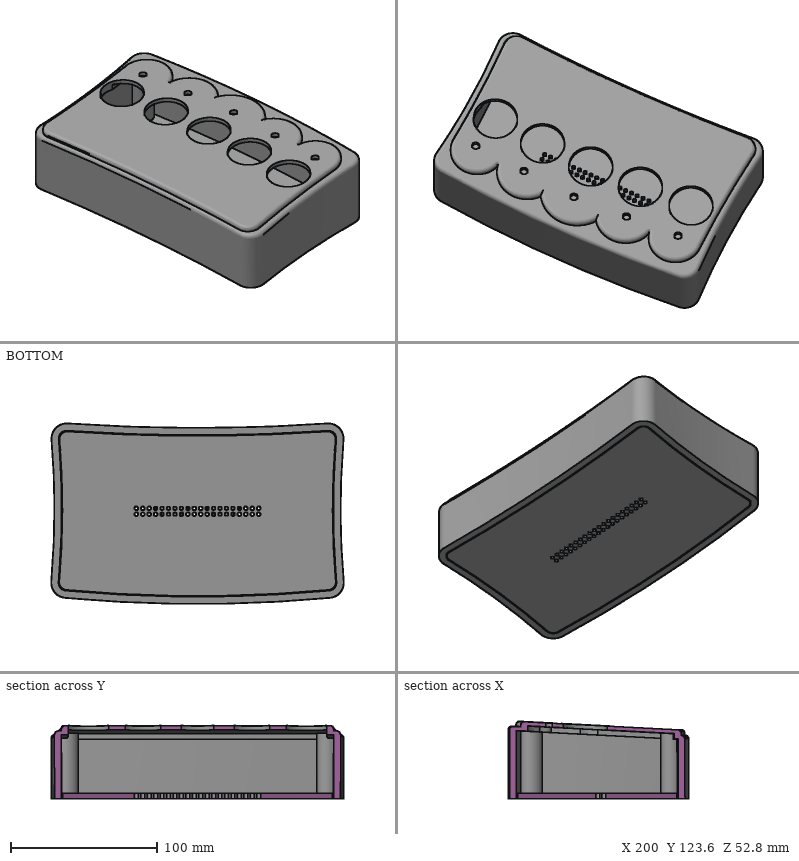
import cadquery as cq
import math

corner_x = 101.0
back_corner_y = 56.8
front_corner_y = -62.5
back_mid_y = 62.0
front_mid_y = -58.5
flank_mid = (97.8, -2.5)
corner_radius = 10.5

slope = math.tan(math.radians(3.0))
case_top_z = 46.5
panel_rise = 3.5
case_edge_radius = 2.5
panel_edge_radius = 2.5

panel_shoulder = (93.5, 33.5)
outer_crest = (75.5, 51.2)
outer_valley = (57.5, 37.5)
inner_crest = (37.5, 53.5)
inner_valley = (21.0, 45.2)
middle_crest_y = 56.5
panel_flank_mid = (93.2, -6.0)
panel_corner = (95.8, -59.5)
panel_front_mid_y = -56.0
panel_corner_radius = 9.2

button_radius = 15.0
button_places = [(-74.5, 6.5), (-37.2, 9.2), (0, 10.5), (37.2, 9.2), (74.5, 6.5)]
lamp_radius = 2.5
lamp_places = [(-76.8, 31.5), (-38.8, 34.0), (0, 36.5), (39.2, 34.0), (77.2, 31.5)]

wall = 5.0
top_thickness = 3.0
base_thickness = 4.0
boss_radius = 7.5
plate_gap = 0.5
boss_places = [(-89.0, 46.2), (89.0, 46.2), (-89.0, -49.8), (89.0, -49.8)]

grille_columns = 20
grille_rows = 2
grille_pitch_x = 4.5
grille_pitch_y = 4.0
grille_mid_y = -1.5
grille_hole_radius = 1.2

tall = 80.0
top_normal = cq.Vector(0, -slope, 1)


def mirrored(point):
    return (-point[0], point[1])


def below_slope(height):
    """Block filling everything under the sloping plane that has this height at y = 0."""
    reach = corner_x
    return (
        cq.Workplane("YZ")
        .polyline([(-reach, -tall), (reach, -tall),
                   (reach, height + slope * reach), (-reach, height - slope * reach)])
        .close()
        .extrude(2 * reach, both=True)
    )


def prism(outline, rounded_edges, radius, inset):
    """Upright prism on an outline moved inwards by the inset, with some of its corners rounded."""
    if inset > 0:
        outline = outline.offset2D(-inset)
    return outline.extrude(tall).edges(rounded_edges).fillet(radius - inset)


def case_prism(inset=0):
    back_right = (corner_x, back_corner_y)
    front_right = (corner_x, front_corner_y)
    outline = (
        cq.Workplane("XY")
        .moveTo(*front_right)
        .threePointArc(flank_mid, back_right)
        .threePointArc((0, back_mid_y), mirrored(back_right))
        .threePointArc(mirrored(flank_mid), mirrored(front_right))
        .threePointArc((0, front_mid_y), front_right)
        .close()
    )
    return prism(outline, "|Z", corner_radius, inset)


def panel_prism(inset=0):
    outline = (
        cq.Workplane("XY")
        .moveTo(*panel_corner)
        .threePointArc(panel_flank_mid, panel_shoulder)
        .threePointArc(outer_crest, outer_valley)
        .threePointArc(inner_crest, inner_valley)
        .threePointArc((0, middle_crest_y), mirrored(inner_valley))
        .threePointArc(mirrored(inner_crest), mirrored(outer_valley))
        .threePointArc(mirrored(outer_crest), mirrored(panel_shoulder))
        .threePointArc(mirrored(panel_flank_mid), mirrored(panel_corner))
        .threePointArc((0, panel_front_mid_y), panel_corner)
        .close()
    )
    return prism(outline, "|Z and <Y", panel_corner_radius, inset)


def round_top(body, radius):
    return body.faces(cq.selectors.DirectionMinMaxSelector(top_normal)).edges().fillet(radius)


def posts(places, radius):
    return cq.Workplane("XY").pushPoints(places).circle(radius).extrude(tall)


def make_housing():
    case = round_top(case_prism().intersect(below_slope(case_top_z)), case_edge_radius)
    panel = panel_prism().intersect(below_slope(case_top_z + panel_rise))
    panel = round_top(panel.cut(below_slope(case_top_z - top_thickness)), panel_edge_radius)
    cavity = case_prism(wall).intersect(below_slope(case_top_z - top_thickness))
    bosses = posts(boss_places, boss_radius).translate((0, 0, base_thickness))
    pocket = panel_prism(wall).intersect(below_slope(case_top_z + panel_rise - top_thickness))
    cavity = cavity.union(pocket)
    return (
        case.union(panel)
        .cut(cavity.cut(bosses))
        .cut(posts(button_places, button_radius))
        .cut(posts(lamp_places, lamp_radius))
    )


def make_base_plate():
    plate = case_prism(wall + plate_gap).intersect(cq.Workplane("XY").box(
        4 * corner_x, 4 * corner_x, base_thickness, centered=(True, True, False)))
    grille = (
        cq.Workplane("XY")
        .center(0, grille_mid_y)
        .rarray(grille_pitch_x, grille_pitch_y, grille_columns, grille_rows)
        .circle(grille_hole_radius)
        .extrude(base_thickness)
    )
    return plate.cut(grille)


housing = make_housing()
base_plate = make_base_plate()

result = cq.Compound.makeCompound([housing.val(), base_plate.val()])